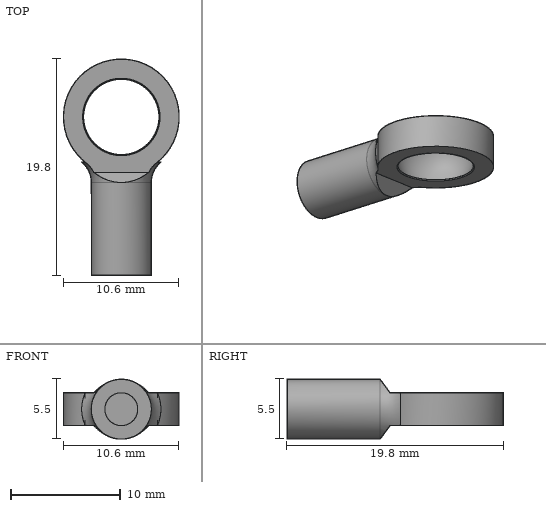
import cadquery as cq
import math

total_length = 19.79
eye_radius = 5.3
eye_thickness = 3.0
shank_radius = 2.75
shank_start = 6.0
shank_bore_radius = 1.5
shank_bore_depth = 8.5

flare_end = 4.14
flare_fillet_radius = 2.41
slope_end = 5.07

seat_mouth_radius = 3.45
mouth_chamfer = 0.1

half_thickness = eye_thickness / 2
shank_end = total_length - eye_radius


def make_eye():
    return cq.Workplane("XY").circle(eye_radius).extrude(half_thickness, both=True)


def make_shank():
    """Revolve the shank and its concave flare about the Y axis."""
    flare_length = shank_start - flare_end
    arc_center_x = shank_radius + flare_fillet_radius

    def flare_x(distance):
        return arc_center_x - math.sqrt(flare_fillet_radius**2 - distance**2)

    body = (
        cq.Workplane("XY")
        .moveTo(0, -shank_end)
        .lineTo(shank_radius, -shank_end)
        .lineTo(shank_radius, -shank_start)
        .threePointArc(
            (flare_x(flare_length / 2), -shank_start + flare_length / 2),
            (flare_x(flare_length), -flare_end),
        )
        .lineTo(0, -flare_end)
        .close()
        .revolve(360, (0, 0, 0), (0, 1, 0))
    )
    side_outline = (
        cq.Workplane("YZ")
        .polyline([
            (-shank_end, shank_radius),
            (-shank_start, shank_radius),
            (-slope_end, half_thickness),
            (0, half_thickness),
            (0, -half_thickness),
            (-slope_end, -half_thickness),
            (-shank_start, -shank_radius),
            (-shank_end, -shank_radius),
        ])
        .close()
        .extrude(eye_radius, both=True)
    )
    return body.intersect(side_outline)


def make_seat():
    """Cutter for the spherical seat, opening out at both mouths."""
    chamfer_z = half_thickness - mouth_chamfer
    seat_radius = math.hypot(seat_mouth_radius, chamfer_z)
    outer_radius = seat_mouth_radius + mouth_chamfer
    return (
        cq.Workplane("XZ")
        .moveTo(0, -half_thickness)
        .lineTo(outer_radius, -half_thickness)
        .lineTo(seat_mouth_radius, -chamfer_z)
        .threePointArc((seat_radius, 0), (seat_mouth_radius, chamfer_z))
        .lineTo(outer_radius, half_thickness)
        .lineTo(0, half_thickness)
        .close()
        .revolve(360, (0, 0, 0), (0, 1, 0))
    )


def make_shank_bore():
    return (
        cq.Workplane("XZ", origin=(0, -shank_end, 0))
        .circle(shank_bore_radius)
        .extrude(-shank_bore_depth)
    )


result = make_eye().union(make_shank()).cut(make_seat()).cut(make_shank_bore())